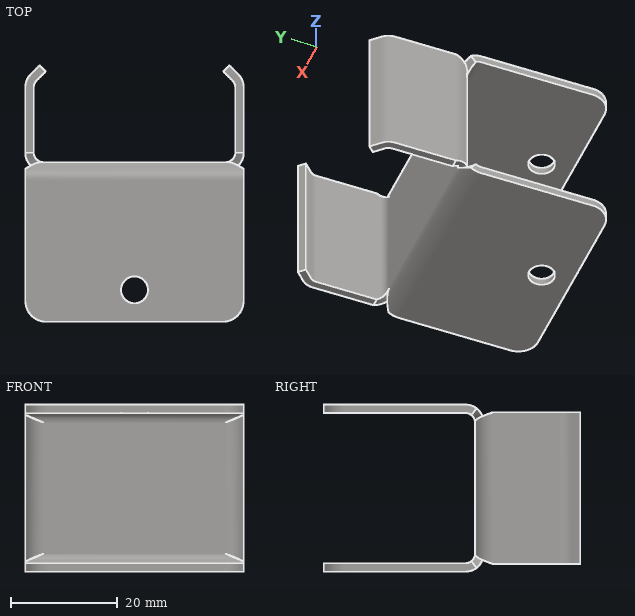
import cadquery as cq
import math

width = 41.0
height = 31.4
depth = 48.15
sheet = 1.65
inner_radius = 1.75
outer_radius = inner_radius + sheet

flange_reach = 28.35
flange_corner_radius = 4.0
hole_diameter = 5.0
hole_edge_distance = 6.0

arm_height = 28.5
arm_reach = depth - flange_reach
lip_angle = 45.0
lip_length = 2.45

web_half_width = width / 2 - outer_radius
web_half_height = height / 2 - outer_radius

flange_flare_angle = 52.0
arm_flare_angle = 90.0
bend_angle = 90.0


def bend_sector(length, angle):
    """Bent sheet centred on the X axis, starting on +Y and turning toward +Z."""
    middle_radius = (inner_radius + outer_radius) / 2
    return (
        cq.Workplane("XY", origin=(0, middle_radius, 0))
        .rect(length, sheet)
        .revolve(angle, (0, -middle_radius), (1, -middle_radius))
    )


def flared_bend(start_half, end_half, flare_angle):
    """Right-angle bend whose ends flare evenly with the bend angle, cut square through the sheet."""
    section_count = 7
    near = inner_radius / 2
    far = outer_radius + sheet
    sections = []
    for index in range(section_count):
        fraction = index / (section_count - 1)
        angle = math.radians(flare_angle * fraction)
        half = start_half + (end_half - start_half) * fraction
        corners = [(-half, near), (half, near), (half, far), (-half, far)]
        points = [cq.Vector(x, r * math.cos(angle), r * math.sin(angle)) for x, r in corners]
        sections.append(cq.Wire.makePolygon(points, close=True))
    envelope = cq.Workplane(obj=cq.Solid.makeLoft(sections))
    bend = bend_sector(2 * end_half, flare_angle).intersect(envelope)
    if flare_angle < bend_angle:
        full_width_part = bend_sector(2 * end_half, bend_angle - flare_angle)
        bend = bend.union(full_width_part.rotate((0, 0, 0), (1, 0, 0), flare_angle))
    return bend


def make_flange():
    """Upper flange with its bend, rounded front corners and screw hole."""
    plate_length = flange_reach - inner_radius
    plate = (
        cq.Workplane("XY", origin=(0, -inner_radius - plate_length / 2, height / 2 - sheet))
        .rect(width, plate_length)
        .extrude(sheet)
        .edges("|Z and <Y")
        .fillet(flange_corner_radius)
    )
    hole = (
        cq.Workplane("XY", origin=(0, hole_edge_distance - flange_reach, height / 2 - sheet))
        .circle(hole_diameter / 2)
        .extrude(sheet)
    )
    bend = flared_bend(web_half_width, width / 2, flange_flare_angle)
    return plate.cut(hole).union(bend.translate((0, -inner_radius, web_half_height)))


def make_arm():
    """Arm on the +X side with its bend and inward lip."""
    sine = math.sin(math.radians(lip_angle))
    cosine = math.cos(math.radians(lip_angle))
    half_sine = math.sin(math.radians(lip_angle / 2))
    half_cosine = math.cos(math.radians(lip_angle / 2))
    arm_start = outer_radius
    lip_bend_start = arm_reach - outer_radius * sine - lip_length * cosine

    def on_lip_bend(radius, across, along):
        return (web_half_width + radius * across, lip_bend_start + radius * along)

    outer_end = on_lip_bend(outer_radius, cosine, sine)
    inner_end = on_lip_bend(inner_radius, cosine, sine)
    lip_dx = -lip_length * sine
    lip_dy = lip_length * cosine
    plate = (
        cq.Workplane("XY", origin=(0, 0, -arm_height / 2))
        .moveTo(width / 2, arm_start)
        .lineTo(width / 2, lip_bend_start)
        .threePointArc(on_lip_bend(outer_radius, half_cosine, half_sine), outer_end)
        .line(lip_dx, lip_dy)
        .lineTo(inner_end[0] + lip_dx, inner_end[1] + lip_dy)
        .lineTo(*inner_end)
        .threePointArc(on_lip_bend(inner_radius, half_cosine, half_sine), (width / 2 - sheet, lip_bend_start))
        .lineTo(width / 2 - sheet, arm_start)
        .close()
        .extrude(arm_height)
    )
    bend_frame = cq.Plane(origin=(web_half_width, outer_radius, 0), xDir=(0, 0, 1), normal=(1, 0, 0))
    bend = flared_bend(web_half_height, arm_height / 2, arm_flare_angle)
    return plate.union(cq.Workplane(obj=bend.val().moved(cq.Location(bend_frame))))


web = cq.Workplane("XY").box(2 * web_half_width, sheet, 2 * web_half_height).translate((0, sheet / 2, 0))
flange = make_flange()
arm = make_arm()
result = (
    web.union(flange)
    .union(flange.mirror("XY"))
    .union(arm)
    .union(arm.mirror("YZ"))
)